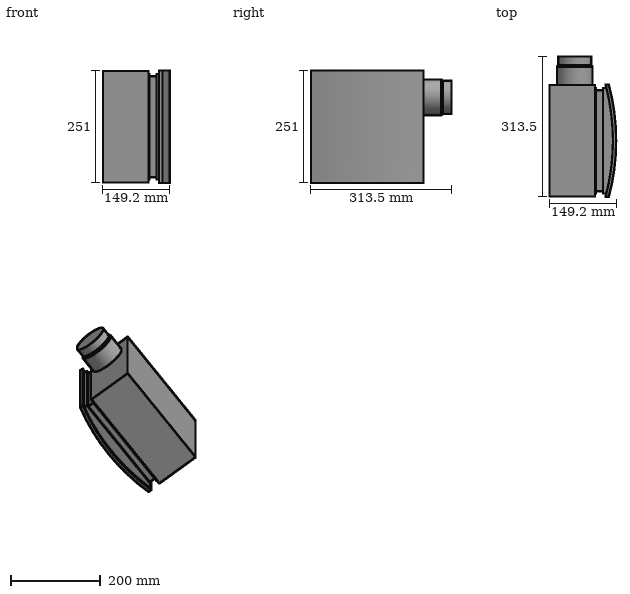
import cadquery as cq


housing_depth = 102.2
housing_side = 249.2

spigot_x = 56.7
spigot_z = 65.5
spigot_diameter = 80.0
spigot_tip_diameter = 74.5
overall_y = 313.5
spigot_tip_length = 19.8
spigot_taper_length = 4.0

flange_side = 235.0
flange_thickness = 2.2
neck_side = 225.0
neck_length = 15.0
panel_side = 251.0
panel_thickness = 7.5
panel_bow = 16.5
panel_front_x = 149.2

spigot_radius = spigot_diameter / 2
spigot_tip_radius = spigot_tip_diameter / 2
spigot_end_y = overall_y - panel_side / 2
neck_x = housing_depth + flange_thickness
base_x = neck_x + neck_length
panel_rear_apex_x = panel_front_x - panel_thickness
panel_rear_edge_x = panel_rear_apex_x - panel_bow
panel_front_edge_x = panel_front_x - panel_bow


def square_block(start_x, length, side):
    """Square block centred on the X axis, growing toward +X."""
    return cq.Workplane("YZ", origin=(start_x, 0, 0)).rect(side, side).extrude(length)


def make_spigot():
    """Solid round spigot that tapers down to a narrower tip."""
    root_y = housing_side / 2
    taper_end_y = spigot_end_y - spigot_tip_length
    taper_start_y = taper_end_y - spigot_taper_length
    half_profile = (
        cq.Workplane("XY", origin=(spigot_x, 0, spigot_z))
        .moveTo(0, root_y)
        .lineTo(spigot_radius, root_y)
        .lineTo(spigot_radius, taper_start_y)
        .lineTo(spigot_tip_radius, taper_end_y)
        .lineTo(spigot_tip_radius, spigot_end_y)
        .lineTo(0, spigot_end_y)
        .close()
    )
    return half_profile.revolve(360, (0, 0, 0), (0, 1, 0))


def make_housing():
    """Box with the spigot on its +Y face."""
    return square_block(0, housing_depth, housing_side).union(make_spigot())


def make_panel():
    """Panel of even thickness along X, bowed toward +X about a vertical axis."""
    half = panel_side / 2
    return (
        cq.Workplane("XY", origin=(0, 0, -half))
        .moveTo(panel_rear_edge_x, -half)
        .lineTo(panel_front_edge_x, -half)
        .threePointArc((panel_front_x, 0), (panel_front_edge_x, half))
        .lineTo(panel_rear_edge_x, half)
        .threePointArc((panel_rear_apex_x, 0), (panel_rear_edge_x, -half))
        .close()
        .extrude(panel_side)
    )


def make_base():
    """Square base that fills the space up to the bowed rear face of the panel."""
    half = panel_side / 2
    space_behind_panel = (
        cq.Workplane("XY", origin=(0, 0, -half))
        .moveTo(base_x, -half)
        .lineTo(panel_rear_edge_x, -half)
        .threePointArc((panel_rear_apex_x, 0), (panel_rear_edge_x, half))
        .lineTo(base_x, half)
        .close()
        .extrude(panel_side)
    )
    return square_block(base_x, panel_front_x - base_x, flange_side).intersect(space_behind_panel)


def make_cover():
    """Flange against the housing, neck, base and panel in one piece."""
    flange = square_block(housing_depth, flange_thickness, flange_side)
    neck = square_block(neck_x, neck_length, neck_side)
    return flange.union(neck).union(make_base()).union(make_panel())


housing = make_housing()
cover = make_cover()

result = cq.Compound.makeCompound([housing.val(), cover.val()])